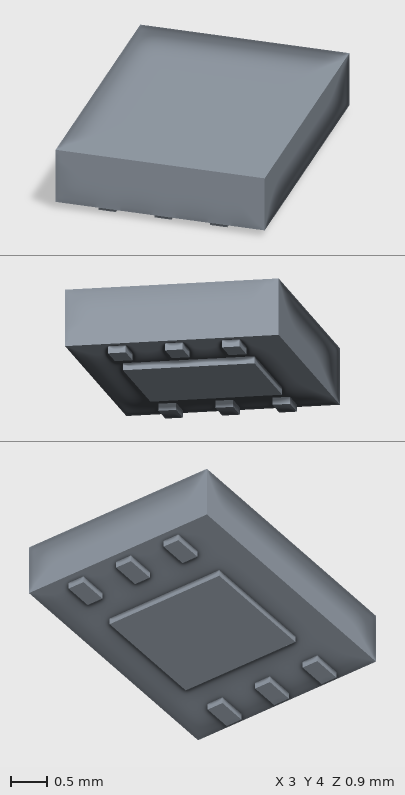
import cadquery as cq

HOUSING_X = 3.0
HOUSING_Y = 4.0
HOUSING_Z = 0.8

PAD_THICKNESS = 0.1
PADS_PER_ROW = 3
PAD_PITCH = 0.8
PAD_WIDTH = 0.25
PAD_LENGTH = 0.45
PAD_END_INSET = 0.13
PAD_ROW_Y = HOUSING_Y / 2 - PAD_END_INSET - PAD_LENGTH / 2

CENTRAL_PAD_X = (PADS_PER_ROW - 1) * PAD_PITCH + PAD_WIDTH
CENTRAL_PAD_Y = 1.8


def make_block(size_x, size_y, height, center_x=0.0, center_y=0.0, base_z=0.0):
    """Return a box centred in X and Y, standing on base_z."""
    return (
        cq.Workplane("XY")
        .box(size_x, size_y, height, centered=(True, True, False))
        .translate((center_x, center_y, base_z))
    )


def make_contact_pad(center_x, center_y):
    """Return one contact pad, with its top against the housing underside."""
    return make_block(PAD_WIDTH, PAD_LENGTH, PAD_THICKNESS, center_x, center_y)


housing = make_block(HOUSING_X, HOUSING_Y, HOUSING_Z, base_z=PAD_THICKNESS)
central_pad = make_block(CENTRAL_PAD_X, CENTRAL_PAD_Y, PAD_THICKNESS)

contact_pads = []
for row_y in (-PAD_ROW_Y, PAD_ROW_Y):
    for index in range(PADS_PER_ROW):
        pad_x = (index - (PADS_PER_ROW - 1) / 2) * PAD_PITCH
        contact_pads.append(make_contact_pad(pad_x, row_y).val())

result = cq.Compound.makeCompound([housing.val(), central_pad.val(), *contact_pads])